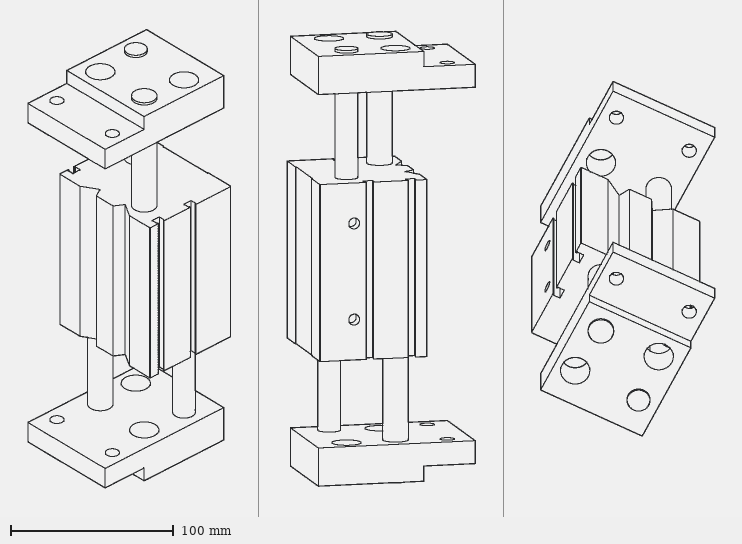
import cadquery as cq

total_height = 272.0
body_height = 110.7
plate_thickness = 24.0
rod_stub = 1.5

body_width = 82.0
body_depth = 68.0
corner_chamfer = 0.4
back_relief_width = 40.3
back_relief_depth = 0.5

groove_inner_x = 7.5
groove_root_x = 11.5
groove_outer_x = 22.3
groove_depth = 6.5

slot_offsets = (31.8, 58.5)
slot_mouth_width = 4.5
slot_inner_width = 6.0
slot_lip = 0.8
slot_depth = 5.2

port_diameter = 6.8
port_depth = 8.2
port_point_depth = 2.0
port_spacing = 60.0

plate_width = 70.0
plate_depth = 99.5
plate_raised_depth = 67.0
plate_flange_thickness = 14.5
bolt_diameter = 8.7
bolt_spacing = 50.0
bolt_from_front = 15.2
clearance_diameter = 18.0

thin_rod_diameter = 14.1
thick_rod_diameter = 15.8
back_rod_x = 21.8
front_rod_x = 19.9
back_rod_y = 12.2
rod_row_spacing = 31.5

body_back = body_depth / 2
body_front = -body_depth / 2
body_top = body_height / 2
side_x = body_width / 2
plate_back = body_back - back_relief_depth
plate_front = plate_back - plate_depth
plate_top = total_height / 2 - rod_stub
plate_bottom = plate_top - plate_thickness
front_rod_y = back_rod_y - rod_row_spacing


def body_prism(points):
    """Extrude a plan outline over the full height of the body."""
    return cq.Workplane("XY", origin=(0, 0, -body_top)).polyline(points).close().extrude(body_height)


def body_bar(x_size, y_size, x, y):
    """Box as tall as the body, centred on (x, y)."""
    return cq.Workplane("XY").box(x_size, y_size, body_height).translate((x, y, 0))


def make_body():
    body = body_bar(body_width, body_depth, 0, 0).edges("|Z").chamfer(corner_chamfer)
    body = body.cut(body_bar(back_relief_width, 2 * back_relief_depth, 0, body_back))

    for side in (-1, 1):
        groove = body_prism([
            (side * groove_inner_x, body_front),
            (side * groove_root_x, body_front + groove_depth),
            (side * groove_outer_x, body_front),
        ])
        body = body.cut(groove)

        for offset in slot_offsets:
            slot_y = body_back - offset
            mouth = body_bar(2 * slot_depth, slot_mouth_width, side * side_x, slot_y)
            inner_depth = slot_depth - slot_lip
            inner_x = side_x - slot_lip - inner_depth / 2
            inner = body_bar(inner_depth, slot_inner_width, side * inner_x, slot_y)
            body = body.cut(mouth).cut(inner)

    return body.cut(make_ports())


def make_ports():
    """Two blind drilled holes with conical ends, entering from the -X side."""
    radius = port_diameter / 2
    profile = (
        cq.Workplane("XY")
        .polyline([(0, 0), (0, radius), (port_depth, radius), (port_depth + port_point_depth, 0)])
        .close()
    )
    port = profile.revolve(360, (0, 0, 0), (1, 0, 0)).translate((-side_x, back_rod_y, 0))
    half_spacing = port_spacing / 2
    return port.translate((0, 0, half_spacing)).union(port.translate((0, 0, -half_spacing)))


def plate_holes(positions, diameter):
    return (
        cq.Workplane("XY", origin=(0, 0, plate_bottom))
        .pushPoints(positions)
        .circle(diameter / 2)
        .extrude(plate_thickness)
    )


def rod(x, y, diameter):
    """Rod from the top face of the body to the upper end of the part."""
    length = total_height / 2 - body_top
    return cq.Workplane("XY", origin=(x, y, body_top)).circle(diameter / 2).extrude(length)


def make_upper_end():
    """Stepped end plate and its two rods, standing on the top of the body."""
    step_y = plate_back - plate_raised_depth
    flange_top = plate_bottom + plate_flange_thickness
    plate = (
        cq.Workplane("YZ")
        .polyline([
            (plate_back, plate_bottom),
            (plate_back, plate_top),
            (step_y, plate_top),
            (step_y, flange_top),
            (plate_front, flange_top),
            (plate_front, plate_bottom),
        ])
        .close()
        .extrude(plate_width / 2, both=True)
    )
    bolt_y = plate_front + bolt_from_front
    bolt_x = bolt_spacing / 2
    plate = plate.cut(plate_holes([(-bolt_x, bolt_y), (bolt_x, bolt_y)], bolt_diameter))

    clearance_positions = [(back_rod_x, back_rod_y), (-front_rod_x, front_rod_y)]
    plate = plate.cut(plate_holes(clearance_positions, clearance_diameter))

    thin_rod = rod(-back_rod_x, back_rod_y, thin_rod_diameter)
    thick_rod = rod(front_rod_x, front_rod_y, thick_rod_diameter)
    return plate.union(thin_rod).union(thick_rod)


upper_end = make_upper_end()
lower_end = upper_end.rotate((0, 0, 0), (0, 1, 0), 180)

result = make_body().union(upper_end).union(lower_end)